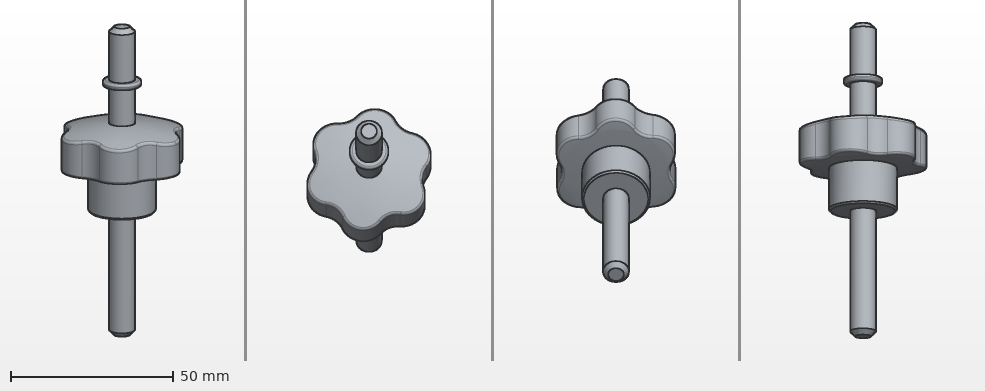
import cadquery as cq
import math

rod_length = 98.95
hub_bottom = 39.8
knob_bottom = 53.3
knob_apex = 68.2
ring_bottom = 80.0

rod_diameter = 8.0
rod_chamfer = 1.6

ring_diameter = 12.0
ring_thickness = 2.0
ring_round = 0.8

hub_diameter = 21.0
hub_chamfer = 0.6

lobe_count = 6
knob_tip_radius = 20.0
lobe_radius = 7.0
valley_radius = 6.7
dome_radius = 65.3
top_round = 1.0
underside_radius = 59.4
bottom_round = 0.8
envelope_margin = 1.0

rim_clearance = 0.2
rim_band = 4.0


def polar(radius, angle):
    """Point at a radius and an angle in degrees about the rod axis."""
    turn = math.radians(angle)
    return (radius * math.cos(turn), radius * math.sin(turn))


def disc(diameter, bottom, height):
    """Solid cylinder on the rod axis."""
    return cq.Workplane("XY").workplane(offset=bottom).circle(diameter / 2).extrude(height)


def bore_for_rod(body):
    """Open a hole that the rod fills exactly."""
    return body.cut(disc(rod_diameter, 0, rod_length))


def make_rod():
    rod = disc(rod_diameter, 0, rod_length)
    return rod.faces("<Z or >Z").edges().chamfer(rod_chamfer)


def make_ring():
    ring = disc(ring_diameter, ring_bottom, ring_thickness)
    return bore_for_rod(ring.faces("<Z or >Z").edges().fillet(ring_round))


def make_hub():
    hub = disc(hub_diameter, hub_bottom, knob_bottom - hub_bottom)
    return bore_for_rod(hub.faces("<Z").edges().chamfer(hub_chamfer))


def star_prism():
    """Lobed prism from the knob seat up to the dome apex."""
    pitch = 360 / lobe_count
    half_pitch = math.radians(pitch / 2)
    lobe_center = knob_tip_radius - lobe_radius

    reach = lobe_radius + valley_radius
    sideways = lobe_center * math.sin(half_pitch)
    valley_center = lobe_center * math.cos(half_pitch) + math.sqrt(reach**2 - sideways**2)
    valley_floor = valley_center - valley_radius

    share = lobe_radius / reach
    valley_x, valley_y = polar(valley_center, pitch / 2)
    joint_x = lobe_center + share * (valley_x - lobe_center)
    joint_y = share * valley_y
    joint_distance = math.hypot(joint_x, joint_y)
    joint_angle = math.degrees(math.atan2(joint_y, joint_x))

    outline = cq.Workplane("XY").workplane(offset=knob_bottom)
    outline = outline.moveTo(*polar(joint_distance, -joint_angle))
    for index in range(lobe_count):
        angle = index * pitch
        outline = outline.threePointArc(
            polar(knob_tip_radius, angle),
            polar(joint_distance, angle + joint_angle),
        )
        outline = outline.threePointArc(
            polar(valley_floor, angle + pitch / 2),
            polar(joint_distance, angle + pitch - joint_angle),
        )
    return outline.close().extrude(knob_apex - knob_bottom)


def knob_envelope():
    """Revolved body with a domed top and an underside curving up from the flat seat on the hub."""
    seat_radius = hub_diameter / 2
    rim_radius = knob_tip_radius + envelope_margin
    half_rim = rim_radius / 2

    def dome_height(radius):
        return knob_apex - dome_radius + math.sqrt(dome_radius**2 - radius**2)

    def underside_height(radius):
        run = radius - seat_radius
        return knob_bottom + underside_radius - math.sqrt(underside_radius**2 - run**2)

    middle_radius = (seat_radius + rim_radius) / 2
    profile = (
        cq.Workplane("XZ")
        .moveTo(0, knob_bottom)
        .lineTo(seat_radius, knob_bottom)
        .threePointArc(
            (middle_radius, underside_height(middle_radius)),
            (rim_radius, underside_height(rim_radius)),
        )
        .lineTo(rim_radius, dome_height(rim_radius))
        .threePointArc((half_rim, dome_height(half_rim)), (0, knob_apex))
        .close()
    )
    return profile.revolve(360, (0, 0, 0), (0, 1, 0))


def rim_edges(knob, bottom, top):
    """Outer edges of the knob whose centers lie between two heights."""
    reach = knob_tip_radius
    return knob.edges(cq.selectors.BoxSelector((-reach, -reach, bottom), (reach, reach, top)))


def make_knob():
    knob = star_prism().intersect(knob_envelope())
    knob = rim_edges(knob, knob_apex - rim_band, knob_apex - rim_clearance).fillet(top_round)
    knob = rim_edges(knob, knob_bottom + rim_clearance, knob_bottom + rim_band).fillet(bottom_round)
    return bore_for_rod(knob)


rod = make_rod()
ring = make_ring()
hub = make_hub()
knob = make_knob()

result = cq.Compound.makeCompound([rod.val(), ring.val(), hub.val(), knob.val()])